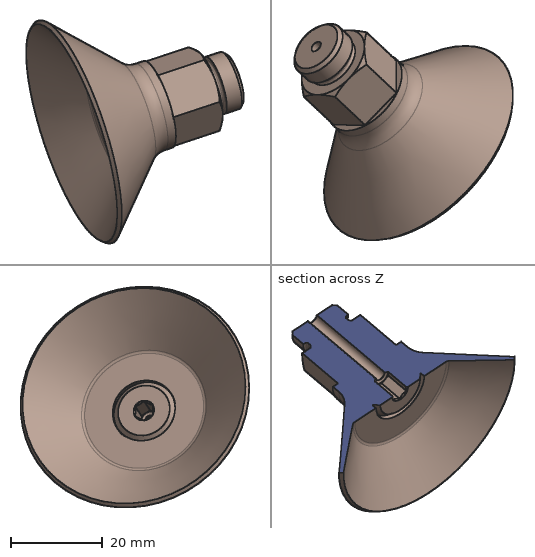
import cadquery as cq
import math


hex_half_angle = math.radians(30)

lip_edge_y = 0.8
floor_y = 9.55
collar_start_y = 18.5
hex_start_y = 20.5
neck_start_y = 32.3
rim_start_y = 34.1
end_y = 38.5

cup_radius = 25.65
lip_inset = 0.65
cup_slope = math.radians(45)
collar_radius = 20.0 / 2
floor_radius = 13.35
floor_corner_radius = 13.7

hex_flats = 17.05
hex_corner_radius = hex_flats / 2 / math.cos(hex_half_angle)
hex_chamfer_slope = math.radians(30)

neck_radius = 11.2 / 2
neck_root_width = 0.75
neck_root_height = 0.4
neck_fillet = 0.4
rim_radius = 13.2 / 2
rim_front_chamfer = 0.15
rim_end_chamfer = 0.8

groove_radius = 14.0 / 2
head_radius = 5.8

bore_radius = 2.5 / 2
socket_flats = 3.9
socket_mouth_radius = 2.3
socket_depth = 6.15
drill_tip_slope = math.radians(30)


def revolve_about_y(profile):
    return profile.close().revolve(360, (0, 0, 0), (0, 1, 0))


def hex_prism(flats, start_y, length):
    """Hexagon with two flats square to X, running toward +Y."""
    return (
        cq.Workplane("XZ", origin=(0, start_y, 0))
        .polygon(6, flats / math.cos(hex_half_angle))
        .extrude(-length)
        .rotate((0, 0, 0), (0, 1, 0), math.degrees(hex_half_angle))
    )


def cup():
    cone_corner_y = lip_edge_y + (cup_radius - collar_radius) / math.tan(cup_slope)
    blend_radius = (collar_start_y - cone_corner_y) / math.tan(cup_slope / 2)

    def blend_point(angle):
        return (
            collar_radius + blend_radius * (1 - math.cos(angle)),
            collar_start_y - blend_radius * math.sin(angle),
        )

    lip_radius = cup_radius - lip_inset
    inner_slope = math.atan2(floor_y, lip_radius - floor_corner_radius)
    floor_fillet = (floor_corner_radius - floor_radius) / math.tan(inner_slope / 2)

    def fillet_point(angle):
        return (
            floor_radius + floor_fillet * math.sin(angle),
            floor_y - floor_fillet * (1 - math.cos(angle)),
        )

    return revolve_about_y(
        cq.Workplane("XY")
        .moveTo(0, floor_y)
        .lineTo(floor_radius, floor_y)
        .threePointArc(fillet_point(inner_slope / 2), fillet_point(inner_slope))
        .lineTo(lip_radius, 0)
        .lineTo(cup_radius, lip_edge_y)
        .lineTo(*blend_point(cup_slope))
        .threePointArc(blend_point(cup_slope / 2), blend_point(0))
        .lineTo(collar_radius, hex_start_y)
        .lineTo(0, hex_start_y)
    )


def hex_body():
    flat_radius = hex_flats / 2
    corner_drop = (hex_corner_radius - flat_radius) * math.tan(hex_chamfer_slope)
    chamfer_envelope = revolve_about_y(
        cq.Workplane("XY")
        .moveTo(0, hex_start_y)
        .lineTo(hex_corner_radius, hex_start_y)
        .lineTo(hex_corner_radius, neck_start_y - corner_drop)
        .lineTo(flat_radius, neck_start_y)
        .lineTo(0, neck_start_y)
    )
    return hex_prism(hex_flats, hex_start_y, neck_start_y - hex_start_y).intersect(chamfer_envelope)


def neck_and_rim():
    fillet_end_y = rim_start_y - rim_front_chamfer
    fillet_start_y = fillet_end_y - neck_fillet
    root_end_y = neck_start_y + neck_root_width
    root_arc = (neck_root_width**2 + neck_root_height**2) / (2 * neck_root_height)
    root_angle = math.asin(neck_root_width / root_arc)
    fillet_mid = neck_fillet * math.sqrt(0.5)
    return revolve_about_y(
        cq.Workplane("XY")
        .moveTo(0, neck_start_y)
        .lineTo(neck_radius + neck_root_height, neck_start_y)
        .threePointArc(
            (
                neck_radius + root_arc * (1 - math.cos(root_angle / 2)),
                root_end_y - root_arc * math.sin(root_angle / 2),
            ),
            (neck_radius, root_end_y),
        )
        .lineTo(neck_radius, fillet_start_y)
        .threePointArc(
            (neck_radius + neck_fillet - fillet_mid, fillet_start_y + fillet_mid),
            (neck_radius + neck_fillet, fillet_end_y),
        )
        .lineTo(rim_radius, rim_start_y)
        .lineTo(rim_radius, end_y - rim_end_chamfer)
        .lineTo(rim_radius - rim_end_chamfer, end_y)
        .lineTo(0, end_y)
    )


def head_groove():
    groove_depth = groove_radius - head_radius
    return revolve_about_y(
        cq.Workplane("XY")
        .moveTo(head_radius, floor_y)
        .lineTo(groove_radius, floor_y)
        .lineTo(groove_radius, floor_y + groove_depth)
    )


def socket_and_bore():
    socket_end_y = floor_y + socket_depth
    drill_radius = socket_flats / 2
    tip_length = (drill_radius - bore_radius) * math.tan(drill_tip_slope)
    bore = revolve_about_y(
        cq.Workplane("XY")
        .moveTo(0, floor_y)
        .lineTo(socket_mouth_radius, floor_y)
        .lineTo(drill_radius, floor_y + socket_mouth_radius - drill_radius)
        .lineTo(drill_radius, socket_end_y)
        .lineTo(bore_radius, socket_end_y + tip_length)
        .lineTo(bore_radius, end_y)
        .lineTo(0, end_y)
    )
    return bore.union(hex_prism(socket_flats, floor_y, socket_depth))


result = (
    cup()
    .union(hex_body())
    .union(neck_and_rim())
    .cut(head_groove())
    .cut(socket_and_bore())
)